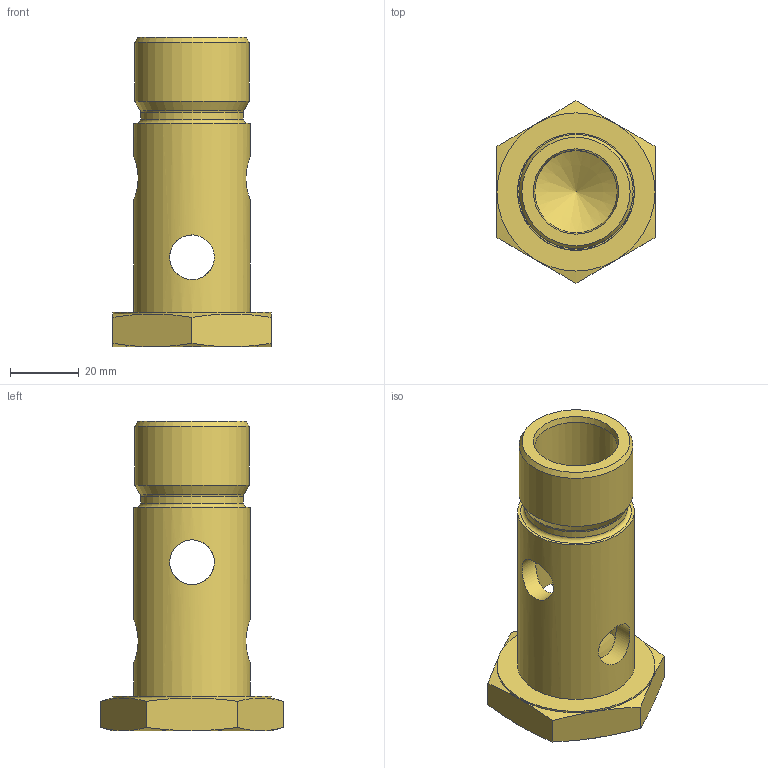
import cadquery as cq
import math

across_flats = 46.0
head_height = 10.0
collar_height = 0.5
collar_diameter = 46.0
head_bevel_angle = 15.0

total_height = 90.0
shank_diameter = 33.96
shank_top = 65.0
groove_diameter = 29.9
groove_fillet = 1.2
thread_diameter = 33.25
thread_bottom = 71.4
thread_chamfer_height = 1.5
thread_chamfer_angle = 30.0

bore_diameter = 24.0
bore_bottom = 17.0
bore_tip_angle = 118.0
mouth_diameter = 24.8
mouth_depth = 1.8

cross_hole_diameter = 13.0
lower_hole_height = 26.0
upper_hole_height = 49.0


def revolve_about_z(profile):
    """Turn a closed radius-height profile about the Z axis."""
    return profile.close().revolve(360, (0, 0, 0), (0, 1, 0))


def make_head():
    """Hexagon with corners up and down Y, its corners bevelled at both ends."""
    corner_radius = across_flats / math.sqrt(3)
    flat_radius = across_flats / 2
    bevel_drop = (corner_radius - flat_radius) * math.tan(math.radians(head_bevel_angle))
    hexagon_top = head_height - collar_height

    hexagon = (
        cq.Workplane("XY")
        .transformed(rotate=(0, 0, 90))
        .polygon(6, 2 * corner_radius)
        .extrude(hexagon_top)
    )
    bevel_envelope = revolve_about_z(
        cq.Workplane("XZ")
        .moveTo(0, 0)
        .lineTo(flat_radius, 0)
        .lineTo(corner_radius, bevel_drop)
        .lineTo(corner_radius, hexagon_top - bevel_drop)
        .lineTo(flat_radius, hexagon_top)
        .lineTo(0, hexagon_top)
    )
    collar = (
        cq.Workplane("XY")
        .workplane(offset=hexagon_top)
        .circle(collar_diameter / 2)
        .extrude(collar_height)
    )
    return hexagon.intersect(bevel_envelope).union(collar)


def make_shank():
    """Turned shank with a filleted relief groove below the threaded end."""
    shank_radius = shank_diameter / 2
    groove_radius = groove_diameter / 2
    thread_radius = thread_diameter / 2
    slope = math.radians(thread_chamfer_angle)
    chamfer_width = thread_chamfer_height * math.tan(slope)

    fillet_centre_r = groove_radius + groove_fillet

    lower_centre_z = shank_top + groove_fillet
    lower_mid = (
        fillet_centre_r - groove_fillet * math.cos(math.pi / 4),
        lower_centre_z - groove_fillet * math.sin(math.pi / 4),
    )

    cone_foot_z = thread_bottom - (thread_radius - groove_radius) / math.tan(slope)
    upper_centre_z = cone_foot_z - groove_fillet * math.tan(slope / 2)

    def upper_fillet_point(angle):
        return (
            fillet_centre_r - groove_fillet * math.cos(angle),
            upper_centre_z + groove_fillet * math.sin(angle),
        )

    return revolve_about_z(
        cq.Workplane("XZ")
        .moveTo(0, 0)
        .lineTo(0, total_height)
        .lineTo(thread_radius - chamfer_width, total_height)
        .lineTo(thread_radius, total_height - thread_chamfer_height)
        .lineTo(thread_radius, thread_bottom)
        .lineTo(*upper_fillet_point(slope))
        .threePointArc(upper_fillet_point(slope / 2), upper_fillet_point(0))
        .lineTo(groove_radius, lower_centre_z)
        .threePointArc(lower_mid, (fillet_centre_r, shank_top))
        .lineTo(shank_radius, shank_top)
        .lineTo(shank_radius, 0)
    )


def make_bore():
    """Drilled blind bore, widening slightly at its mouth."""
    bore_radius = bore_diameter / 2
    tip_depth = bore_radius / math.tan(math.radians(bore_tip_angle / 2))
    return revolve_about_z(
        cq.Workplane("XZ")
        .moveTo(0, bore_bottom - tip_depth)
        .lineTo(bore_radius, bore_bottom)
        .lineTo(bore_radius, total_height - mouth_depth)
        .lineTo(mouth_diameter / 2, total_height)
        .lineTo(0, total_height)
    )


def make_cross_hole(plane, height):
    """Cylinder through the whole shank, normal to the given plane."""
    return (
        cq.Workplane(plane)
        .center(0, height)
        .circle(cross_hole_diameter / 2)
        .extrude(shank_diameter, both=True)
    )


result = (
    make_head()
    .union(make_shank())
    .cut(make_bore())
    .cut(make_cross_hole("XZ", lower_hole_height))
    .cut(make_cross_hole("YZ", upper_hole_height))
)